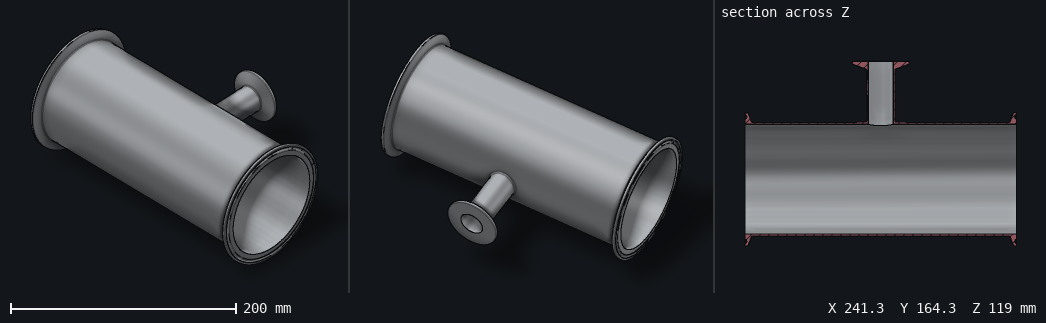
import cadquery as cq
import math

length = 241.3
tube_outer_dia = 101.5
tube_inner_dia = 97.5
tube_flange_dia = 119.0

branch_outer_dia = 25.3
branch_inner_dia = 22.2
branch_flange_dia = 50.5
overall_depth = 164.3
branch_end = overall_depth - tube_flange_dia / 2
weld_fillet = 1.5

rim_width = 3.0
back_slope = math.radians(20)
rim_fillet = 0.5
face_edge_fillet = 0.5
neck_fillet = 1.0

groove_outer_radius = 57.0
groove_inner_radius = 53.8
groove_depth = 1.5


def gasket_groove(face_height):
    """Ring to cut from a flange face at Z = face_height."""
    middle_radius = (groove_outer_radius + groove_inner_radius) / 2
    return (
        cq.Workplane("XZ")
        .moveTo(groove_inner_radius, face_height)
        .threePointArc(
            (middle_radius, face_height - groove_depth),
            (groove_outer_radius, face_height),
        )
        .close()
        .revolve(360, (0, 0, 0), (0, 1, 0))
    )


def flanged_tube(tube_dia, flange_dia, tube_length, grooved):
    """Solid tube from the origin along +Z, with a clamp flange whose face is at the far end."""
    tube_radius = tube_dia / 2
    flange_radius = flange_dia / 2
    rim_back = tube_length - rim_width
    neck = rim_back - (flange_radius - tube_radius) * math.tan(back_slope)
    profile = [
        (0, 0),
        (tube_radius, 0),
        (tube_radius, neck),
        (flange_radius, rim_back),
        (flange_radius, tube_length),
        (0, tube_length),
    ]
    body = cq.Workplane("XZ").polyline(profile).close().revolve(360, (0, 0, 0), (0, 1, 0))
    body = body.edges(cq.selectors.NearestToPointSelector((0, 0, rim_back))).fillet(rim_fillet)
    body = body.edges(cq.selectors.NearestToPointSelector((0, 0, neck))).fillet(neck_fillet)
    if grooved:
        body = body.cut(gasket_groove(tube_length))
    return body.faces(">Z").edges().fillet(face_edge_fillet)


half_tube = flanged_tube(tube_outer_dia, tube_flange_dia, length / 2, grooved=True)
half_tube = half_tube.rotate((0, 0, 0), (0, 1, 0), 90)
body = half_tube.union(half_tube.mirror("YZ")).clean()

branch = flanged_tube(branch_outer_dia, branch_flange_dia, branch_end, grooved=False)
branch = branch.rotate((0, 0, 0), (1, 0, 0), -90)
body = body.union(branch)
weld_point = (0, tube_outer_dia / 2, 0)
body = body.edges(cq.selectors.NearestToPointSelector(weld_point)).fillet(weld_fillet)

tube_bore = cq.Workplane("YZ").circle(tube_inner_dia / 2).extrude(length / 2, both=True)
branch_bore = cq.Workplane("XZ").circle(branch_inner_dia / 2).extrude(-branch_end)

result = body.cut(tube_bore).cut(branch_bore)